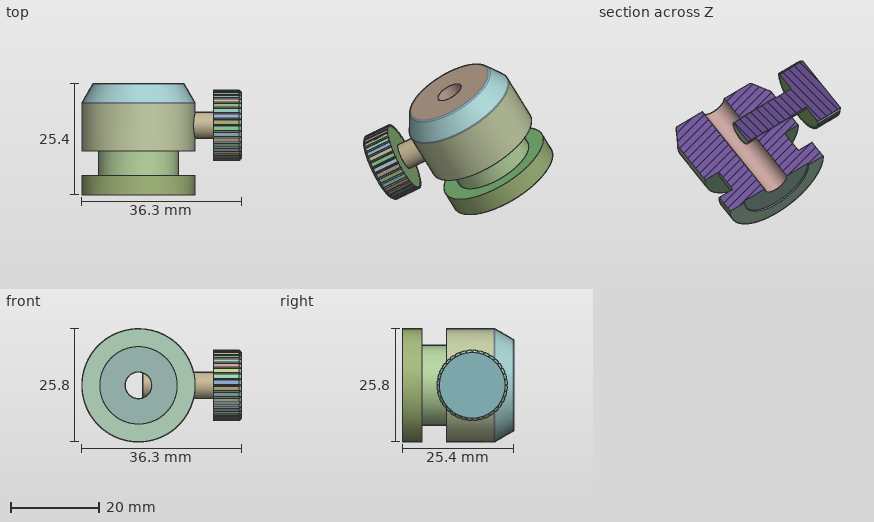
import cadquery as cq
import math

overall_length = 36.27
body_diameter = 25.75
body_length = 25.4
bore_diameter = 6.02

flange_thickness = 4.55
neck_diameter = 18.25
neck_length = 5.48

nose_length = 4.42
nose_angle = 30.0
nose_edge_radius = 0.5

recess_diameter = 17.6
recess_depth = 0.4

shank_diameter = 6.02
shank_tip_x = 0.95
screw_y = 15.9

knob_diameter = 16.0
knob_thickness = 6.42
knob_chamfer = 0.55
groove_count = 36
groove_width = 0.45

body_radius = body_diameter / 2
neck_radius = neck_diameter / 2
collar_start = flange_thickness + neck_length
nose_start = body_length - nose_length
nose_radius = body_radius - nose_length * math.tan(math.radians(nose_angle))
knob_end_x = overall_length - body_radius
knob_start_x = knob_end_x - knob_thickness
knob_radius = knob_diameter / 2
groove_depth = groove_width * math.sqrt(3) / 2


def shank():
    """Plain round shank along X, from its flat tip to the knob."""
    plane = cq.Workplane("YZ", origin=(shank_tip_x, screw_y, 0))
    return plane.circle(shank_diameter / 2).extrude(knob_start_x - shank_tip_x)


def turned_body():
    """Solid of revolution about Y: flange, neck, collar and tapered nose with softened edges."""
    profile = (
        cq.Workplane("YZ")
        .moveTo(0, 0)
        .lineTo(0, body_radius)
        .lineTo(flange_thickness, body_radius)
        .lineTo(flange_thickness, neck_radius)
        .lineTo(collar_start, neck_radius)
        .lineTo(collar_start, body_radius)
        .lineTo(nose_start, body_radius)
        .lineTo(body_length, nose_radius)
        .lineTo(body_length, 0)
        .close()
    )
    body = profile.revolve(360, (0, 0, 0), (1, 0, 0))
    nose_edges = cq.selectors.BoxSelector(
        (-body_diameter, nose_start - nose_edge_radius, -body_diameter),
        (body_diameter, body_length + nose_edge_radius, body_diameter),
    )
    return body.edges(nose_edges).edges("%CIRCLE").fillet(nose_edge_radius)


def cylinder_from_front(diameter, depth):
    """Cylinder on the housing axis, from the front face towards +Y."""
    return cq.Workplane("XZ").circle(diameter / 2).extrude(-depth)


def make_housing():
    """Turned body with a through bore, a shallow front recess and a hole for the screw shank."""
    bore = cylinder_from_front(bore_diameter, body_length)
    recess = cylinder_from_front(recess_diameter, recess_depth)
    return turned_body().cut(bore).cut(recess).cut(shank())


def knurl_groove(angle):
    """V cutter along the knob rim, turned by the given angle about the screw axis."""
    cutter_height = 2 * groove_depth
    root_radius = knob_radius - groove_depth
    cutter = (
        cq.Workplane("YZ", origin=(knob_start_x, screw_y, 0))
        .moveTo(-root_radius, 0)
        .lineTo(-root_radius - cutter_height, groove_width)
        .lineTo(-root_radius - cutter_height, -groove_width)
        .close()
        .extrude(knob_thickness)
    )
    return cutter.rotate((0, screw_y, 0), (1, screw_y, 0), angle)


def make_thumbscrew():
    """Knurled knob, chamfered on its outer face, with a plain shank."""
    knob = (
        cq.Workplane("YZ", origin=(knob_start_x, screw_y, 0))
        .circle(knob_radius)
        .extrude(knob_thickness)
        .faces(">X")
        .chamfer(knob_chamfer)
    )
    for index in range(groove_count):
        knob = knob.cut(knurl_groove(index * 360 / groove_count))
    return knob.union(shank())


housing = make_housing()
thumbscrew = make_thumbscrew()

result = cq.Compound.makeCompound([housing.solids().val(), thumbscrew.solids().val()])